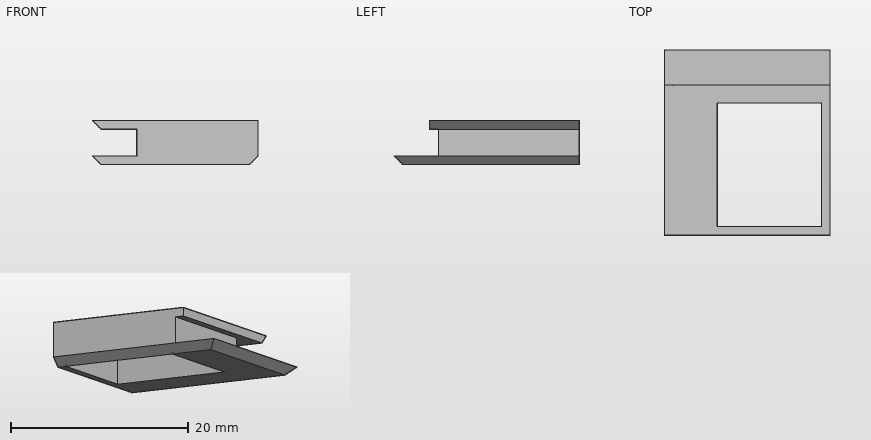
import cadquery as cq

length_x = 18.7
length_y = 20.9
height = 5.0

wall = 1.0

core_left = 5.0
top_plate_depth = 16.9
core_depth = top_plate_depth - wall

window_left = core_left + wall
window_right = length_x - wall
window_front = wall
window_back = core_depth - wall


def box(x0, x1, y0, y1, z0, z1):
    """Box given by its limits along each axis."""
    return cq.Workplane("XY").box(x1 - x0, y1 - y0, z1 - z0, centered=False).translate((x0, y0, z0))


def bevelled_plate():
    """Bottom plate: its slopes run from the underside up to a sharp upper edge."""
    side_profile = [(wall, 0), (length_x - wall, 0), (length_x, wall), (0, wall)]
    plate = cq.Workplane("XZ").polyline(side_profile).close().extrude(-length_y)
    back_profile = [(0, 0), (length_y - wall, 0), (length_y, wall), (0, wall)]
    return plate.intersect(cq.Workplane("YZ").polyline(back_profile).close().extrude(length_x))


def top_plate():
    """Top plate: only its left end slopes, out to a sharp upper edge."""
    profile = [(wall, height - wall), (length_x, height - wall), (length_x, height), (0, height)]
    return cq.Workplane("XZ").polyline(profile).close().extrude(-top_plate_depth)


core = box(core_left, length_x, 0, core_depth, wall, height - wall)
window = box(window_left, window_right, window_front, window_back, 0, height)

result = bevelled_plate().union(core).union(top_plate()).cut(window)